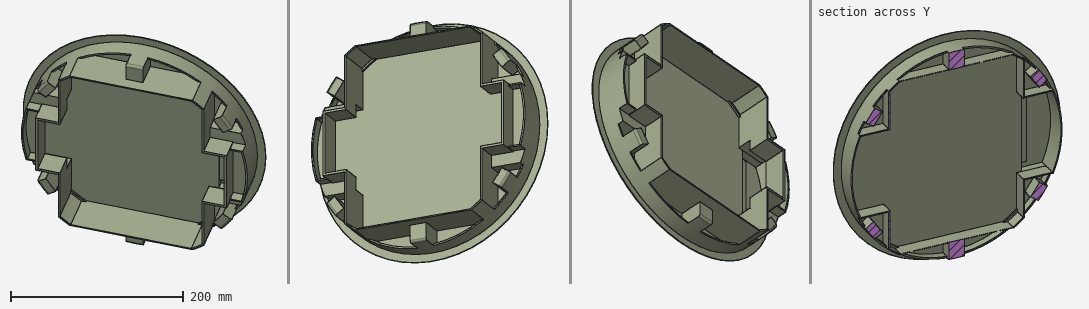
import cadquery as cq


flange_radius = 147.0
rim_radius = 138.5
rim_height = 1.0
crown_radius = 144.5
crown_depth = 1.5
flange_edge_depth = 2.5
flange_front_depth = 3.5
wall = 2.0
drum_radius = 137.0
drum_inner_radius = drum_radius - wall
drum_depth = 23.8
full_depth = 57.3

lid_thickness = 11.8
plate_depth = 14.0
plate_opening_radius = 132.3

box_half_width = 88.2
box_half_height = 115.0
box_end_wall = 1.5
bay_half_width = 115.8
bay_half_height = 40.3
bay_wall = 3.0

tunnel_half_height = 55.3
tunnel_roof_depth = 31.8
tunnel_inner_depth = tunnel_roof_depth - wall
pocket_half_height = 39.5
pocket_wall = 1.8
pocket_rim_depth = 43.8

tab_width = 20.5
tab_depth = pocket_rim_depth
tab_round = 3.0
diagonal_tab_angle = 35.0
diagonal_tab_inner_radius = 123.8

outlet_edge_x = 92.5
outlet_thickness = 2.0
outlet_rib_width = 7.0
outlet_rib_depth = 9.7
outlet_rib_half_height = 42.3

tolerance = 0.03


def plane_at(depth):
    """Workplane parallel to XZ at a depth, with extrusions running to the front."""
    return cq.Workplane("XZ").workplane(offset=depth)


def disc(radius, start, end):
    return plane_at(start).circle(radius).extrude(end - start)


def block(half_width, half_height, start, end):
    return plane_at(start).rect(2 * half_width, 2 * half_height).extrude(end - start)


def cut_to_circle(radius, shape):
    return shape.intersect(disc(radius, 0, full_depth))


def make_flange():
    """Solid flange disc: a raised rim on the back and a gently crowned edge outside it."""
    profile = (
        cq.Workplane("XY")
        .lineTo(rim_radius, 0)
        .lineTo(rim_radius, -rim_height)
        .threePointArc((crown_radius, -crown_depth), (flange_radius, -flange_edge_depth))
        .lineTo(flange_radius, -flange_front_depth)
        .lineTo(0, -flange_front_depth)
        .close()
    )
    return profile.revolve(360, (0, 0, 0), (0, 1, 0))


def make_box():
    """Outside of the socket box: a tall rectangle with a bay on each side."""
    main = block(box_half_width, box_half_height, lid_thickness, full_depth)
    return main.union(block(bay_half_width, bay_half_height, lid_thickness, full_depth))


def make_box_interior(radius, start):
    """Inside of the socket box, with its corners trimmed by a circle."""
    main = block(box_half_width - wall, box_half_height - box_end_wall, start, full_depth)
    bays = block(bay_half_width - bay_wall, bay_half_height - bay_wall, start, full_depth)
    return cut_to_circle(radius, main.union(bays))


def make_tab(angle, inner_radius):
    """Bar that starts at a radius and runs out past the drum surface."""
    bar = block((flange_radius - inner_radius) / 2, tab_width / 2, lid_thickness, tab_depth)
    bar = bar.translate(((flange_radius + inner_radius) / 2, 0, 0))
    return bar.rotate((0, 0, 0), (0, 1, 0), angle)


def make_tabs():
    tabs = make_tab(90, box_half_height - box_end_wall)
    tabs = tabs.union(make_tab(-90, box_half_height - box_end_wall))
    for side in (0, 180):
        for tilt in (diagonal_tab_angle, -diagonal_tab_angle):
            tabs = tabs.union(make_tab(side + tilt, diagonal_tab_inner_radius))
    return tabs


def make_pocket_hollow():
    """Space inside the pocket walls, down to the tunnel roof."""
    return block(flange_radius, pocket_half_height - pocket_wall, tunnel_roof_depth, pocket_rim_depth)


def make_drum():
    """Drum wall of varying depth, with everything that stands on the floor plate inside it."""
    tunnels = block(flange_radius, tunnel_half_height, lid_thickness, tunnel_roof_depth)
    pockets = block(flange_radius, pocket_half_height, lid_thickness, pocket_rim_depth)
    raised = tunnels.union(pockets).union(make_tabs()).union(make_box())
    low_wall = block(flange_radius, flange_radius, 0, drum_depth)
    drum = cut_to_circle(drum_radius, low_wall.union(raised))

    supports = tunnels.union(pockets).cut(make_pocket_hollow()).union(make_tabs()).union(make_box())
    hollow = disc(drum_inner_radius, plate_depth, full_depth).cut(supports)
    return drum.cut(hollow)


def is_tab_rim(edge):
    """Outer front edge of a tab: an arc of the drum circle above or below the pockets."""
    center = edge.Center()
    at_front = abs(center.y + tab_depth) < tolerance
    on_drum = edge.geomType() == "CIRCLE" and abs(edge.radius() - drum_radius) < tolerance
    return at_front and on_drum and abs(center.z) > tunnel_half_height


def make_frame():
    frame = make_drum()
    frame = frame.edges().filter(is_tab_rim).fillet(tab_round)
    frame = frame.union(make_flange())
    frame = frame.cut(disc(drum_inner_radius, 0, lid_thickness))
    frame = frame.cut(make_box_interior(drum_inner_radius, plate_depth))
    frame = frame.cut(make_box_interior(plate_opening_radius, lid_thickness))
    tunnel = block(drum_radius, tunnel_half_height - wall, lid_thickness, tunnel_inner_depth)
    return frame.cut(cut_to_circle(drum_inner_radius, tunnel))


def make_outlet_area(depth):
    """Part of the lid disc that the cable outlet takes up on the +X side."""
    beyond_edge = block(drum_radius, drum_radius, 0, depth).translate((outlet_edge_x + drum_radius, 0, 0))
    strip = block(drum_radius, tunnel_half_height - wall, 0, depth)
    return cut_to_circle(drum_inner_radius, strip.intersect(beyond_edge))


def make_lid():
    return disc(drum_inner_radius, 0, lid_thickness).cut(make_outlet_area(lid_thickness))


def make_cable_outlet():
    """Thin flap that fills the gap in the lid, with a stiffening rib along the lid edge."""
    rib = block(outlet_rib_width / 2, outlet_rib_half_height, 0, outlet_rib_depth)
    rib = rib.translate((outlet_edge_x + outlet_rib_width / 2, 0, 0))
    return make_outlet_area(outlet_thickness).union(rib)


frame = make_frame()
lid = make_lid()
cable_outlet = make_cable_outlet()

result = cq.Compound.makeCompound([frame.val(), lid.val(), cable_outlet.val()])